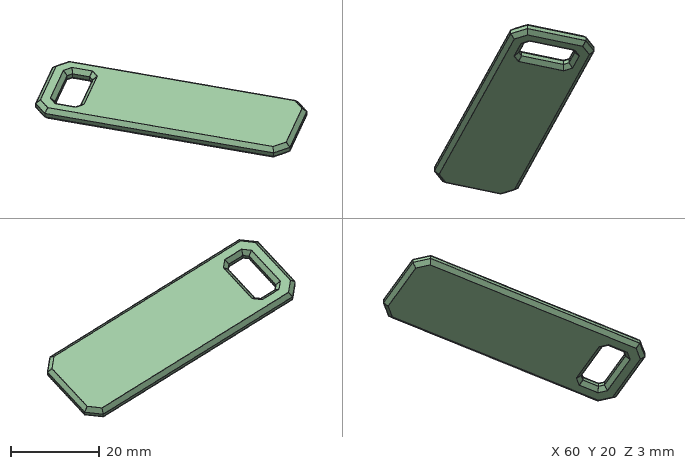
import cadquery as cq

length = 60.0
width = length / 3
thickness = 3.0
corner_cut = 3.0
window_length = 6.0
window_width = 12.0
window_margin = 3.0

bevel = thickness / 3
window_corner_cut = bevel
window_center_x = -length / 2 + window_margin + bevel + window_length / 2


def cut_corner_block(size_x, size_y, corner_leg):
    """Block as thick as the plate, standing on Z = 0, with its four upright edges cut at 45 degrees."""
    block = cq.Workplane("XY").box(size_x, size_y, thickness, centered=(True, True, False))
    return block.edges("|Z").chamfer(corner_leg)



plate = cut_corner_block(length, width, corner_cut)
window = cut_corner_block(window_length, window_width, window_corner_cut)
tag = plate.cut(window.translate((window_center_x, 0, 0)))

result = tag.faces("<Z or >Z").edges().chamfer(bevel)